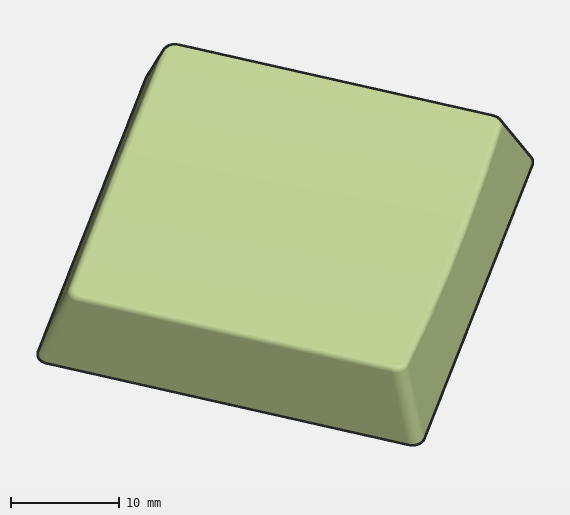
import cadquery as cq
import math

base_side = 37.35
rim_height = 7.47
side_draft = 18.0
corner_radius = 1.27

dish_depth = 0.95
rim_fillet = 0.6

rim_half_side = base_side / 2 - rim_height * math.tan(math.radians(side_draft))
dish_radius = (rim_half_side ** 2 + dish_depth ** 2) / (2 * dish_depth)
dish_axis_height = rim_height - dish_depth + dish_radius


def tapered_body():
    """Square block whose sides lean inwards, with the sloping corners rounded."""
    block = cq.Workplane("XY").rect(base_side, base_side).extrude(rim_height, taper=side_draft)
    sloping_edges = block.edges("not #Z")
    return sloping_edges.fillet(corner_radius)


def dish_cutter():
    """Long cylinder that hollows the top into a shallow trough along X."""
    return (
        cq.Workplane("YZ")
        .center(0, dish_axis_height)
        .circle(dish_radius)
        .extrude(base_side / 2, both=True)
    )


dished_body = tapered_body().cut(dish_cutter())

dish_face = dished_body.faces(cq.selectors.NearestToPointSelector((0, 0, rim_height)))
result = dish_face.edges().fillet(rim_fillet)